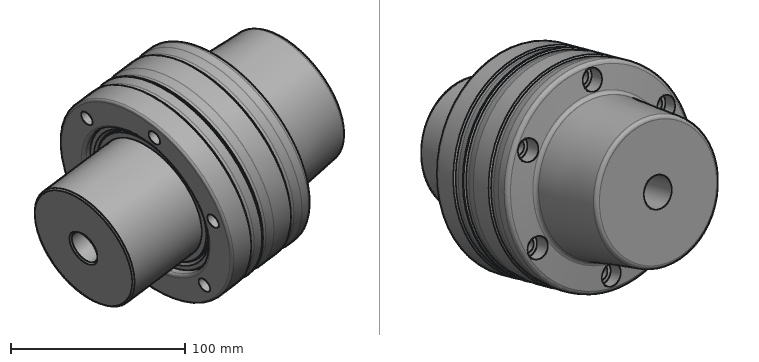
import cadquery as cq
import math

overall_length = 170.0

rim_radius = 68.8
flange_front_fillet = 1.5
rim_rear_fillet = 2.7

groove_depth = 1.0
groove_floor_width = 2.2
groove_taper_length = 5.6
groove_length = groove_depth + groove_floor_width + groove_taper_length
flange_groove_y = 16.2
body_groove_ys = (25.8, 49.0)

joint_y = flange_groove_y + groove_length

nose_end_y = 118.7
nose_end_radius = 45.2
nose_end_fillet = 2.5
nose_root_y = 67.8
nose_root_radius = 49.1
nose_root_fillet = 2.5
shoulder_slope = math.radians(6)
shoulder_drop = (rim_radius - nose_root_radius) * math.tan(shoulder_slope)
rim_rear_y = nose_root_y - shoulder_drop

bolt_count = 6
bolt_circle_radius = 58.6
first_bolt_angle = 23.2
bolt_hole_radius = 4.6
bolt_head_radius = 7.0
bolt_head_depth = 8.5
bolt_head_seat_y = rim_rear_y - bolt_head_depth

ring_outer_radius = 49.5
ring_front_y = 4.8
ring_outer_chamfer = 0.5
ring_bore_chamfer = 1.9
flange_bore_fillet = 1.9

collar_radius = 44.2
collar_front_y = 5.1
collar_chamfer = 0.7
shaft_radius = 40.0
shaft_front_y = nose_end_y - overall_length
shaft_end_chamfer = 1.0
center_bore_radius = 10.2
center_bore_chamfer = 1.0


def revolve_outline(points):
    """Solid turned about the Y axis from a closed outline of (radius, y) points."""
    return cq.Workplane("XY").polyline(points).close().revolve(360, (0, 0, 0), (0, 1, 0))


def round_edge(body, y, radius, which):
    """Fillet one circular edge lying in the plane y: which is 0 for innermost, -1 for outermost."""
    reach = 2 * rim_radius
    margin = 0.08
    in_plane = cq.selectors.BoxSelector(
        (-reach, y - margin, -reach), (reach, y + margin, reach), boundingbox=True
    )
    return body.edges(in_plane).edges(cq.selectors.RadiusNthSelector(which)).fillet(radius)


def groove_points(start_y):
    """Rim groove as (radius, y) points, from its step to the end of its taper."""
    floor_radius = rim_radius - groove_depth
    floor_start_y = start_y + groove_depth
    return [
        (rim_radius, start_y),
        (floor_radius, floor_start_y),
        (floor_radius, floor_start_y + groove_floor_width),
        (rim_radius, start_y + groove_length),
    ]


def bolt_circle_cylinders(radius, start_y, end_y):
    """Cylinders along Y, one at each bolt position."""
    cylinders = []
    for index in range(bolt_count):
        angle = math.radians(first_bolt_angle + index * 360 / bolt_count)
        base = cq.Vector(
            bolt_circle_radius * math.cos(angle), start_y, bolt_circle_radius * math.sin(angle)
        )
        cylinders.append(cq.Solid.makeCylinder(radius, end_y - start_y, base, cq.Vector(0, 1, 0)))
    return cq.Workplane(obj=cq.Compound.makeCompound(cylinders))


def make_flange():
    """Front flange: a grooved disc with a wide bore for the ring."""
    flange = revolve_outline(
        [(ring_outer_radius, 0), (rim_radius, 0)]
        + groove_points(flange_groove_y)
        + [(ring_outer_radius, joint_y)]
    )
    flange = round_edge(flange, 0, flange_front_fillet, -1)
    flange = round_edge(flange, 0, flange_bore_fillet, 0)
    return flange.cut(bolt_circle_cylinders(bolt_hole_radius, 0, joint_y))


def make_nose_body():
    """Nose body: a disc with two rim grooves that carries the tapered nose."""
    outline = [(center_bore_radius, joint_y), (rim_radius, joint_y)]
    for start_y in body_groove_ys:
        outline += groove_points(start_y)
    outline += [
        (rim_radius, rim_rear_y),
        (nose_root_radius, nose_root_y),
        (nose_end_radius, nose_end_y),
        (center_bore_radius, nose_end_y),
    ]
    body = revolve_outline(outline)
    body = round_edge(body, rim_rear_y, rim_rear_fillet, -1)
    body = round_edge(body, nose_root_y, nose_root_fillet, -1)
    body = round_edge(body, nose_end_y, nose_end_fillet, -1)
    body = body.cut(bolt_circle_cylinders(bolt_hole_radius, joint_y, nose_end_y))
    return body.cut(bolt_circle_cylinders(bolt_head_radius, bolt_head_seat_y, nose_root_y))


def make_ring():
    """Retaining ring, chamfered at the front of its bore and of its outside."""
    return revolve_outline(
        [
            (collar_radius + ring_bore_chamfer, ring_front_y),
            (ring_outer_radius - ring_outer_chamfer, ring_front_y),
            (ring_outer_radius, ring_front_y + ring_outer_chamfer),
            (ring_outer_radius, joint_y),
            (collar_radius, joint_y),
            (collar_radius, ring_front_y + ring_bore_chamfer),
        ]
    )


def make_shaft():
    """Hollow shaft with a collar that rests against the nose body."""
    return revolve_outline(
        [
            (center_bore_radius + center_bore_chamfer, shaft_front_y),
            (shaft_radius - shaft_end_chamfer, shaft_front_y),
            (shaft_radius, shaft_front_y + shaft_end_chamfer),
            (shaft_radius, collar_front_y),
            (collar_radius - collar_chamfer, collar_front_y),
            (collar_radius, collar_front_y + collar_chamfer),
            (collar_radius, joint_y),
            (center_bore_radius, joint_y),
            (center_bore_radius, shaft_front_y + center_bore_chamfer),
        ]
    )


flange = make_flange()
nose_body = make_nose_body()
ring = make_ring()
shaft = make_shaft()

result = cq.Compound.makeCompound([flange.val(), nose_body.val(), ring.val(), shaft.val()])